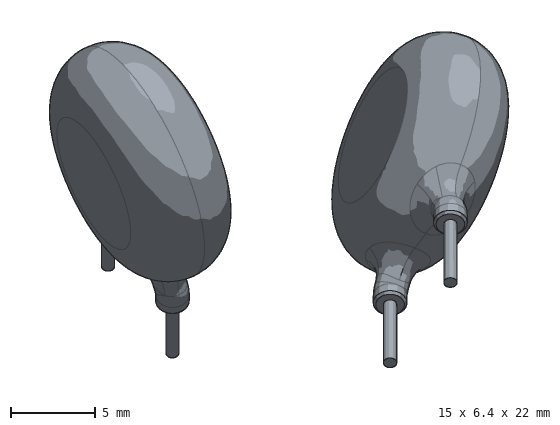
import cadquery as cq
import math

total_height = 22.0
disc_diameter = 15.0
disc_thickness = 6.4
lead_pitch = 7.5
lead_diameter = 0.8
lead_length = 5.0
collar_diameter = 2.0
collar_height = 0.75
collar_chamfer = 0.15
neck_tilt = 30.0
neck_length = 3.95
neck_blend = 2.0
bend_clearance = 0.02

disc_radius = disc_diameter / 2
rim_radius = disc_thickness / 2
flat_radius = disc_radius - rim_radius
lead_radius = lead_diameter / 2
lead_x = lead_pitch / 2
lead_bottom = disc_radius - total_height
collar_bottom = lead_bottom + lead_length
collar_top = collar_bottom + collar_height
collar_radius = collar_diameter / 2
bend_radius = collar_radius + bend_clearance


def make_disc():
    """Disc with a fully rounded rim, turned about the Y axis."""
    rim_diagonal = rim_radius * math.sqrt(0.5)
    return (
        cq.Workplane("XY")
        .moveTo(0, -rim_radius)
        .lineTo(flat_radius, -rim_radius)
        .threePointArc((flat_radius + rim_diagonal, -rim_diagonal), (disc_radius, 0))
        .threePointArc((flat_radius + rim_diagonal, rim_diagonal), (flat_radius, rim_radius))
        .lineTo(0, rim_radius)
        .close()
        .revolve(360, (0, 0), (0, 1))
    )


def make_neck():
    """Left neck: a bend leaning towards the disc, then a straight run into it."""
    bend = (
        cq.Workplane("XY", origin=(-lead_x, 0, collar_top))
        .circle(collar_radius)
        .revolve(neck_tilt, (bend_radius, 0), (bend_radius, 1))
    )
    tilt = math.radians(neck_tilt)
    run_start = (
        -lead_x + bend_radius * (1 - math.cos(tilt)),
        0,
        collar_top + bend_radius * math.sin(tilt),
    )
    run_direction = (math.sin(tilt), 0, math.cos(tilt))
    run_plane = cq.Plane(origin=run_start, xDir=(0, 1, 0), normal=run_direction)
    run = cq.Workplane(run_plane).circle(collar_radius).extrude(neck_length)
    return bend.union(run)


def make_collar():
    """Left collar around the lead, chamfered at its lower edge."""
    return (
        cq.Workplane("XY", origin=(-lead_x, 0, collar_bottom))
        .circle(collar_radius)
        .extrude(collar_height)
        .faces("<Z")
        .edges()
        .chamfer(collar_chamfer)
    )


def make_lead():
    """Left lead, running from its free end up to the top of the collar."""
    return (
        cq.Workplane("XY", origin=(-lead_x, 0, lead_bottom))
        .circle(lead_radius)
        .extrude(collar_top - lead_bottom)
    )


neck = make_neck()
body = make_disc().union(neck).union(neck.mirror("YZ"))
body = body.edges("%BSPLINE").fillet(neck_blend)

terminal = make_collar().union(make_lead())
result = body.union(terminal).union(terminal.mirror("YZ"))